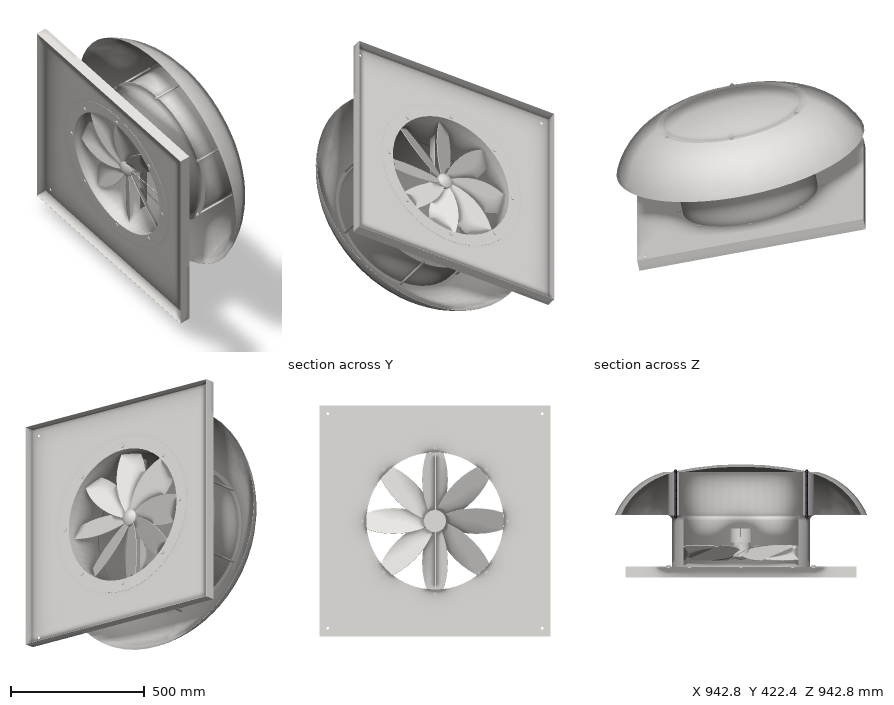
import cadquery as cq
import math


SHEET = 1.0

BASE_SIDE = 860.0
BASE_DEPTH = 42.0
CORNER_HOLE_DIA = 10.0
CORNER_HOLE_PITCH = 800.0

DUCT_INNER_RADIUS = 256.0
DUCT_OUTER_RADIUS = DUCT_INNER_RADIUS + SHEET
DUCT_FLANGE_RADIUS = 303.0
FLARE_RADIUS = 17.0
FLARE_START = 214.0
MOUTH_FRONT = FLARE_START + FLARE_RADIUS
MOUTH_BACK = MOUTH_FRONT + SHEET
BASE_INNER_FACE = BASE_DEPTH - SHEET
DUCT_FRONT = BASE_INNER_FACE - SHEET

COWL_RADIUS = 942.75 / 2
COWL_RIM = 232.8
COWL_TOP = 422.4
RING_RADIUS = 287.0
RING_FACE = 394.0
CAP_RADIUS = 258.0
SKIRT_BULGE = 28.0
RING_UNDERSIDE = RING_FACE - SHEET

DRUM_OUTER_RADIUS = 271.5
ROD_COUNT = 6
ROD_CIRCLE_RADIUS = 283.0
ROD_RADIUS = 4.0
ROD_END = 5.0

HEX_FLATS = 13.0
HEX_HEIGHT = 4.0
FLANGE_BOLT_COUNT = 8
FLANGE_BOLT_CIRCLE_RADIUS = 271.0

MOTOR_RADIUS = 41.0
MOTOR_FRONT = 130.0
MOTOR_PLATE_FRONT = 151.0
MOTOR_PLATE_BACK = 183.0
MOTOR_PLATE_THICKNESS = 3.0

BLADE_COUNT = 8
BLADE_PITCH = 31.0
BLADE_THICKNESS = 2.0
BLADE_TIP_RADIUS = 255.0
BLADE_TIP_WIDTH = 62.0
BLADE_MAX_WIDTH = 94.0
BLADE_MAX_WIDTH_RADIUS = 135.0
BLADE_ROOT_WIDTH = 40.0
BLADE_ROOT_RADIUS = 26.0
IMPELLER_MIDDLE = 92.0
HUB_RADIUS = 31.0
HUB_FRONT = 78.0
HUB_CAP_HEIGHT = 12.0


def revolve_about_axis(profile):
    """Turn a closed (radius, Y) profile around the fan axis."""
    return profile.revolve(360, (0, 0, 0), (0, 1, 0)).rotate((0, 0, 0), (0, 1, 0), -90)


def cylinder(radius, front, back):
    """Solid cylinder on the fan axis between two Y positions."""
    return cq.Workplane("XZ", origin=(0, front, 0)).circle(radius).extrude(front - back)


def tube(inner_radius, outer_radius, front, back):
    return cylinder(outer_radius, front, back).cut(cylinder(inner_radius, front, back))


def points_on_circle(count, radius, start_angle):
    """(X, Z) positions spaced evenly round the fan axis."""
    angles = [math.radians(start_angle + 360 * i / count) for i in range(count)]
    return [(radius * math.cos(a), radius * math.sin(a)) for a in angles]


def hexagons(points, front, back):
    """Hexagon heads or nuts at (X, Z) points between two Y positions."""
    corner_diameter = HEX_FLATS / math.cos(math.radians(30))
    plane = cq.Workplane("XZ", origin=(0, front, 0))
    return plane.pushPoints(points).polygon(6, corner_diameter).extrude(front - back)


def arc_middle(start, end, bulge):
    """Middle of an arc that bulges to the right of the chord from start to end; negative is left."""
    run = end[0] - start[0]
    rise = end[1] - start[1]
    chord = math.hypot(run, rise)
    middle_radius = (start[0] + end[0]) / 2 + bulge * rise / chord
    middle_y = (start[1] + end[1]) / 2 - bulge * run / chord
    return (middle_radius, middle_y)


def make_base():
    base = cq.Workplane("XY").box(BASE_SIDE, BASE_DEPTH, BASE_SIDE).translate((0, BASE_DEPTH / 2, 0))
    inner_side = BASE_SIDE - 2 * SHEET
    hollow = cq.Workplane("XY").box(inner_side, BASE_INNER_FACE, inner_side)
    base = base.cut(hollow.translate((0, BASE_INNER_FACE / 2, 0)))
    corner_holes = (
        cq.Workplane("XZ")
        .rect(CORNER_HOLE_PITCH, CORNER_HOLE_PITCH, forConstruction=True)
        .vertices()
        .circle(CORNER_HOLE_DIA / 2)
        .extrude(-BASE_DEPTH)
    )
    return base.cut(corner_holes).cut(cylinder(DUCT_OUTER_RADIUS, 0, BASE_DEPTH))


def make_duct():
    bend_radius = DUCT_OUTER_RADIUS + FLARE_RADIUS
    inner_bend = FLARE_RADIUS + SHEET
    diagonal = math.sqrt(0.5)
    profile = (
        cq.Workplane("XY")
        .moveTo(DUCT_INNER_RADIUS, DUCT_FRONT)
        .lineTo(DUCT_FLANGE_RADIUS, DUCT_FRONT)
        .lineTo(DUCT_FLANGE_RADIUS, BASE_INNER_FACE)
        .lineTo(DUCT_OUTER_RADIUS, BASE_INNER_FACE)
        .lineTo(DUCT_OUTER_RADIUS, FLARE_START)
        .threePointArc(
            (bend_radius - FLARE_RADIUS * diagonal, FLARE_START + FLARE_RADIUS * diagonal),
            (bend_radius, MOUTH_FRONT),
        )
        .lineTo(RING_RADIUS, MOUTH_FRONT)
        .lineTo(RING_RADIUS, MOUTH_BACK)
        .lineTo(bend_radius, MOUTH_BACK)
        .threePointArc(
            (bend_radius - inner_bend * diagonal, FLARE_START + inner_bend * diagonal),
            (DUCT_INNER_RADIUS, FLARE_START),
        )
        .close()
    )
    return revolve_about_axis(profile)


def make_cowl():
    outer_rim = (COWL_RADIUS, COWL_RIM)
    outer_ring = (RING_RADIUS, RING_FACE)
    inner_rim = (COWL_RADIUS - SHEET, COWL_RIM)
    inner_ring = (RING_RADIUS - SHEET, RING_UNDERSIDE)
    cap_rise = COWL_TOP - RING_FACE
    sphere_radius = (CAP_RADIUS ** 2 + cap_rise ** 2) / (2 * cap_rise)
    mid_radius = CAP_RADIUS / 2
    mid_y = COWL_TOP - sphere_radius + math.sqrt(sphere_radius ** 2 - mid_radius ** 2)
    profile = (
        cq.Workplane("XY")
        .moveTo(*outer_rim)
        .threePointArc(arc_middle(outer_rim, outer_ring, SKIRT_BULGE), outer_ring)
        .lineTo(CAP_RADIUS, RING_FACE)
        .threePointArc((mid_radius, mid_y), (0, COWL_TOP))
        .lineTo(0, COWL_TOP - SHEET)
        .threePointArc((mid_radius, mid_y - SHEET), (CAP_RADIUS, RING_UNDERSIDE))
        .lineTo(*inner_ring)
        .threePointArc(arc_middle(inner_ring, inner_rim, -SKIRT_BULGE), inner_rim)
        .close()
    )
    return revolve_about_axis(profile)


def make_tie_rods():
    points = points_on_circle(ROD_COUNT, ROD_CIRCLE_RADIUS, 30)
    front_nut = MOUTH_FRONT - HEX_HEIGHT
    back_nut = RING_FACE + HEX_HEIGHT
    length = back_nut - front_nut + 2 * ROD_END
    plane = cq.Workplane("XZ", origin=(0, front_nut - ROD_END, 0))
    rods = plane.pushPoints(points).circle(ROD_RADIUS).extrude(-length)
    rods = rods.union(hexagons(points, front_nut, MOUTH_FRONT))
    return rods.union(hexagons(points, RING_FACE, back_nut))


def make_motor_mount():
    plate_reach = DUCT_INNER_RADIUS + SHEET / 2
    motor = cylinder(MOTOR_RADIUS, MOTOR_FRONT, MOTOR_PLATE_BACK)
    plate = cq.Workplane("XY").box(
        MOTOR_PLATE_THICKNESS,
        MOTOR_PLATE_BACK - MOTOR_PLATE_FRONT,
        2 * plate_reach + SHEET,
    )
    plate_middle = (MOTOR_PLATE_FRONT + MOTOR_PLATE_BACK) / 2
    plate = plate.translate((-MOTOR_PLATE_THICKNESS / 2, plate_middle, 0))
    plate = plate.intersect(cylinder(plate_reach, MOTOR_PLATE_FRONT, MOTOR_PLATE_BACK))
    return motor.union(plate)


def make_housing():
    drum = tube(DRUM_OUTER_RADIUS - SHEET, DRUM_OUTER_RADIUS, MOUTH_BACK, RING_UNDERSIDE)
    bolt_points = points_on_circle(FLANGE_BOLT_COUNT, FLANGE_BOLT_CIRCLE_RADIUS, 0)
    bolt_heads = hexagons(bolt_points, DUCT_FRONT - HEX_HEIGHT, DUCT_FRONT)
    bolt_nuts = hexagons(bolt_points, BASE_DEPTH, BASE_DEPTH + HEX_HEIGHT)
    housing = make_duct().union(make_motor_mount())
    pieces = [make_base(), drum, make_tie_rods(), make_cowl(), bolt_heads, bolt_nuts]
    for piece in pieces:
        housing = housing.union(piece)
    return housing


def make_blade():
    """Flat blade pointing along +Z, pitched about its own radial line."""
    stretch = 1 / math.cos(math.radians(BLADE_PITCH))
    root = BLADE_ROOT_WIDTH / 2 * stretch
    widest = BLADE_MAX_WIDTH / 2 * stretch
    tip = BLADE_TIP_WIDTH / 2 * stretch
    outline = (
        cq.Workplane("XZ", origin=(0, BLADE_THICKNESS / 2, 0))
        .moveTo(-root, BLADE_ROOT_RADIUS)
        .threePointArc((-widest, BLADE_MAX_WIDTH_RADIUS), (-tip, BLADE_TIP_RADIUS))
        .lineTo(tip, BLADE_TIP_RADIUS)
        .threePointArc((widest, BLADE_MAX_WIDTH_RADIUS), (root, BLADE_ROOT_RADIUS))
        .close()
    )
    blade = outline.extrude(BLADE_THICKNESS)
    return blade.rotate((0, 0, 0), (0, 0, 1), BLADE_PITCH).translate((0, IMPELLER_MIDDLE, 0))


def make_hub():
    sphere_radius = (HUB_RADIUS ** 2 + HUB_CAP_HEIGHT ** 2) / (2 * HUB_CAP_HEIGHT)
    mid_radius = HUB_RADIUS / 2
    mid_rise = HUB_CAP_HEIGHT - sphere_radius + math.sqrt(sphere_radius ** 2 - mid_radius ** 2)
    profile = (
        cq.Workplane("XY")
        .moveTo(0, MOTOR_FRONT)
        .lineTo(HUB_RADIUS, MOTOR_FRONT)
        .lineTo(HUB_RADIUS, HUB_FRONT)
        .threePointArc((mid_radius, HUB_FRONT - mid_rise), (0, HUB_FRONT - HUB_CAP_HEIGHT))
        .close()
    )
    return revolve_about_axis(profile)


def make_impeller():
    impeller = make_hub()
    blade = make_blade()
    for i in range(BLADE_COUNT):
        impeller = impeller.union(blade.rotate((0, 0, 0), (0, 1, 0), 360 * i / BLADE_COUNT))
    return impeller.intersect(cylinder(BLADE_TIP_RADIUS, 0, RING_UNDERSIDE))


housing = make_housing()
impeller = make_impeller()

result = cq.Compound.makeCompound([housing.val(), impeller.val()])